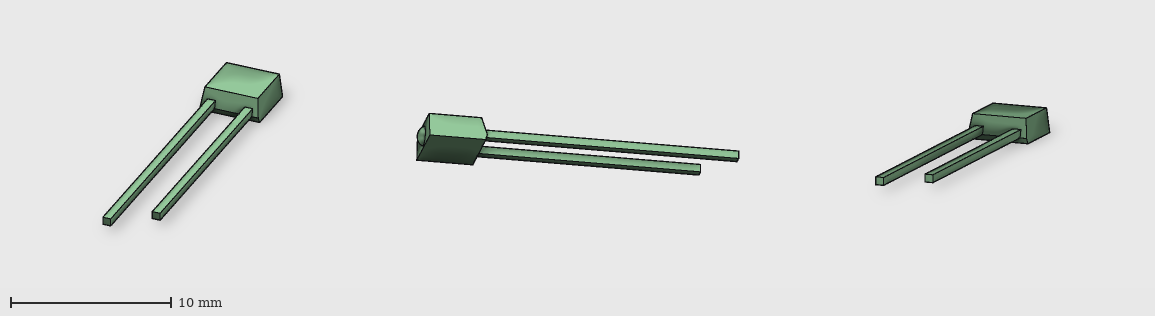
import cadquery as cq

body_width_base = 4.06
body_width_top = 3.62
body_height = 1.57
body_length_top = 3.35
body_length_base = 3.58
body_length_parting = 3.68
parting_height = 0.36

lens_radius = 0.635
lens_height = 0.38
lens_center_z = body_height / 2

lead_pitch = 2.54
lead_width = 0.54
lead_thickness = 0.51
lead_embed = 0.5
lead_length_difference = 1.9
overall_length = 20.19
long_lead_end = overall_length - lens_height
short_lead_end = long_lead_end - lead_length_difference


def make_body():
    """Intersect the tapered end outline with the slanted side outline."""
    half_base = body_width_base / 2
    half_top = body_width_top / 2
    end_outline = (
        cq.Workplane("XZ")
        .polyline([(-half_base, 0), (half_base, 0), (half_top, body_height), (-half_top, body_height)])
        .close()
        .extrude(body_length_parting)
    )
    side_outline = (
        cq.Workplane("YZ")
        .moveTo(0, 0)
        .lineTo(-body_length_base, 0)
        .lineTo(-body_length_parting, parting_height)
        .lineTo(-body_length_top, body_height)
        .lineTo(0, body_height)
        .close()
        .extrude(half_base, both=True)
    )
    return end_outline.intersect(side_outline)


def make_lens():
    """Revolve an arc about the lens axis, which runs along Y."""
    sphere_radius = (lens_radius**2 + lens_height**2) / (2 * lens_height)
    return (
        cq.Workplane("XY", origin=(0, 0, lens_center_z))
        .moveTo(0, 0)
        .lineTo(lens_radius, 0)
        .radiusArc((0, lens_height), -sphere_radius)
        .close()
        .revolve(360, (0, 0, 0), (0, 1, 0))
    )


def make_lead(center_x, end_distance):
    """Bar from inside the body to end_distance in front of the lens face."""
    start_distance = body_length_top - lead_embed
    return cq.Workplane("XY").box(
        lead_width,
        end_distance - start_distance,
        lead_thickness,
        centered=(True, False, False),
    ).translate((center_x, -end_distance, parting_height))


result = (
    make_body()
    .union(make_lens())
    .union(make_lead(-lead_pitch / 2, long_lead_end))
    .union(make_lead(lead_pitch / 2, short_lead_end))
)